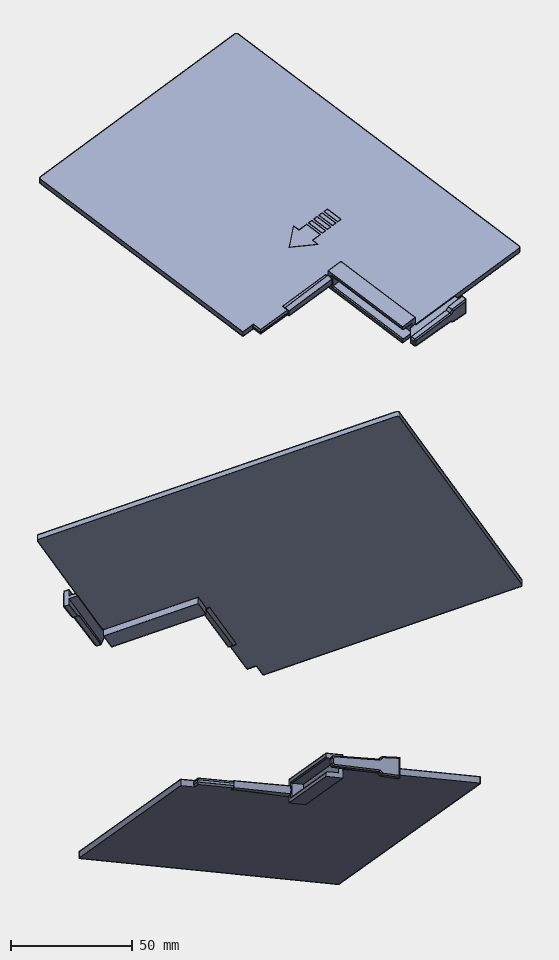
import cadquery as cq

overall_length = 174.06
plate_length = 167.1
plate_width = 114.7
plate_thickness = 2.8
plate_half = plate_thickness / 2
corner_radius = 1.0

foot_length = 120.0
tab_y = 5.6
tab_end_x = 124.7
tab_root_x = 125.2
tab_overlap = 1.0
edge_bevel_inset = 0.5
edge_bevel_height = 0.9

block_left = 122.9
block_right = 166.6
block_front = 46.6
block_back = 54.0
block_height = 10.0
groove_left = 125.2
groove_depth = 5.5
groove_height = 5.8
groove_mouth_bevel = 0.5

rib_foot_x = 121.4
rib_ridge_x = block_left
rib_tip_y = 21.6
rib_root_height = 2.4
rib_tip_height = 1.75
rib_root_outer = 1.7
rib_tip_outer = 1.5

web_thickness = 1.8
grip_left = 171.2
grip_front = block_front
grip_back = 76.6
grip_front_x = 173.8
grip_bevel = 0.6
grip_nose_half = 1.1
grip_nose_length = 0.6
grip_front_half = 2.2
grip_step_low_y = 67.4
grip_step_low_half = 2.7
grip_step_high_y = 68.6
grip_step_high_half = 3.9
grip_back_half = 4.3
web_cut = grip_left - block_right

arrow_x = 100.0
arrow_tip_y = 46.6
arrow_head_y = 56.2
arrow_head_width = 14.4
arrow_stem_y = 60.7
arrow_stem_width = 8.0
arrow_bar_count = 4
arrow_bar_length = 1.9
arrow_bar_gap = 1.1
arrow_depth = 0.1


def box(x_min, x_max, y_min, y_max, z_min, z_max):
    """Axis-aligned box given by its limits."""
    return cq.Workplane("XY").box(
        x_max - x_min, y_max - y_min, z_max - z_min, centered=False
    ).translate((x_min, y_min, z_min))


def slab(points, thickness):
    """Outline in X and Y, extruded evenly to both sides of the mid-plane."""
    return cq.Workplane("XY").polyline(points).close().extrude(thickness / 2, both=True)


def section(points, y):
    """Closed wire in X and Z at the given Y."""
    return cq.Wire.makePolygon([cq.Vector(x, y, z) for x, z in points], close=True)


def make_upper_tab():
    """Upper half of the tab: its end and side edges are upright near the mid-plane, then bevelled."""

    def outline(z, inset):
        points = [
            (foot_length - tab_overlap, tab_y + inset),
            (tab_end_x - inset, tab_y + inset),
            (tab_root_x - inset, block_back),
            (foot_length - tab_overlap, block_back),
        ]
        return cq.Wire.makePolygon([cq.Vector(x, y, z) for x, y in points], close=True)

    bevel_start = plate_half - edge_bevel_height
    upright = cq.Solid.makeLoft([outline(0, 0), outline(bevel_start, 0)], True)
    bevelled = cq.Solid.makeLoft([outline(bevel_start, 0), outline(plate_half, edge_bevel_inset)], True)
    return cq.Workplane(upright).union(cq.Workplane(bevelled))


def make_plate():
    """Flat plate, with a tab of bevelled edges reaching into its open corner."""
    plate = slab(
        [
            (0, 0),
            (foot_length, 0),
            (foot_length, block_back),
            (plate_length, block_back),
            (plate_length, plate_width),
            (0, plate_width),
        ],
        plate_thickness,
    )
    outer_corners = plate.edges("|Z and (<X or (>X and >Y))")
    plate = outer_corners.fillet(corner_radius)
    upper_tab = make_upper_tab()
    return plate.union(upper_tab).union(upper_tab.mirror("XY"))


def make_block():
    """Block with a groove in its -Y face, closed at the left end and open at the right."""
    half = block_height / 2
    block = box(block_left, block_right, block_front, block_back, -half, half)
    groove_half = groove_height / 2
    groove_back = block_front + groove_depth
    groove = box(groove_left, block_right, block_front, groove_back, -groove_half, groove_half)
    mouth_half = groove_half + groove_mouth_bevel
    mouth_left = groove_left - groove_mouth_bevel
    mouth = cq.Workplane(cq.Solid.makeLoft(
        [
            section(
                [
                    (mouth_left, -mouth_half),
                    (block_right, -mouth_half),
                    (block_right, mouth_half),
                    (mouth_left, mouth_half),
                ],
                block_front,
            ),
            section(
                [
                    (groove_left, -groove_half),
                    (block_right, -groove_half),
                    (block_right, groove_half),
                    (groove_left, groove_half),
                ],
                block_front + groove_mouth_bevel,
            ),
        ],
        True,
    ))
    return block.cut(groove).cut(mouth)


def make_rib():
    """Guide rib on the upper face, falling from the block to its tip."""

    def rib_section(y, ridge_height, outer_height):
        return section(
            [
                (rib_foot_x, 0),
                (tab_root_x, 0),
                (tab_root_x, outer_height),
                (rib_ridge_x, ridge_height),
                (rib_foot_x, plate_half),
            ],
            y,
        )

    return cq.Workplane(cq.Solid.makeLoft(
        [
            rib_section(rib_tip_y, rib_tip_height, rib_tip_outer),
            rib_section(block_front, rib_root_height, rib_root_outer),
        ],
        True,
    ))


def make_web():
    """Thin web joining the plate to the grip, cut at 45 degrees beside the block."""
    return slab(
        [
            (block_right, grip_front + web_cut),
            (grip_left, grip_front),
            (grip_left, grip_back),
            (block_right, grip_back),
        ],
        web_thickness,
    )


def make_grip():
    """Upright grip: stepped along Y, with a blunt nose and a slightly sloping, bevelled outer face."""
    half_profile = [
        (grip_front, grip_nose_half),
        (grip_front + grip_nose_length, grip_front_half),
        (grip_step_low_y, grip_step_low_half),
        (grip_step_high_y, grip_step_high_half),
        (grip_back, grip_back_half),
    ]
    mirrored = [(y, -z) for y, z in reversed(half_profile)]
    side = cq.Workplane("YZ").workplane(offset=grip_left).polyline(half_profile + mirrored).close()
    bar = side.extrude(block_height)
    slope = (overall_length - grip_front_x) / (grip_back - grip_bevel - grip_front)
    grip_back_x = overall_length + slope * grip_bevel
    plan = slab(
        [
            (grip_left, grip_front),
            (grip_front_x, grip_front),
            (grip_back_x, grip_back),
            (grip_left, grip_back),
        ],
        block_height,
    )
    return bar.intersect(plan).faces(">X").chamfer(grip_bevel)


def make_arrow():
    """Arrow pointing to -Y, with four bars behind its stem, as a cutter for the upper face."""
    z_min = plate_half - arrow_depth
    head_half = arrow_head_width / 2
    stem_half = arrow_stem_width / 2
    outline = [
        (arrow_x, arrow_tip_y),
        (arrow_x + head_half, arrow_head_y),
        (arrow_x + stem_half, arrow_head_y),
        (arrow_x + stem_half, arrow_stem_y),
        (arrow_x - stem_half, arrow_stem_y),
        (arrow_x - stem_half, arrow_head_y),
        (arrow_x - head_half, arrow_head_y),
    ]
    arrow = cq.Workplane("XY").workplane(offset=z_min).polyline(outline).close().extrude(arrow_depth)
    for index in range(arrow_bar_count):
        y_min = arrow_stem_y + arrow_bar_gap + index * (arrow_bar_length + arrow_bar_gap)
        y_max = y_min + arrow_bar_length
        bar = box(arrow_x - stem_half, arrow_x + stem_half, y_min, y_max, z_min, plate_half)
        arrow = arrow.union(bar)
    return arrow


upper_rib = make_rib()
lower_rib = upper_rib.mirror("XY")
result = make_plate().union(upper_rib).union(lower_rib).union(make_block())
result = result.union(make_web()).union(make_grip()).cut(make_arrow())